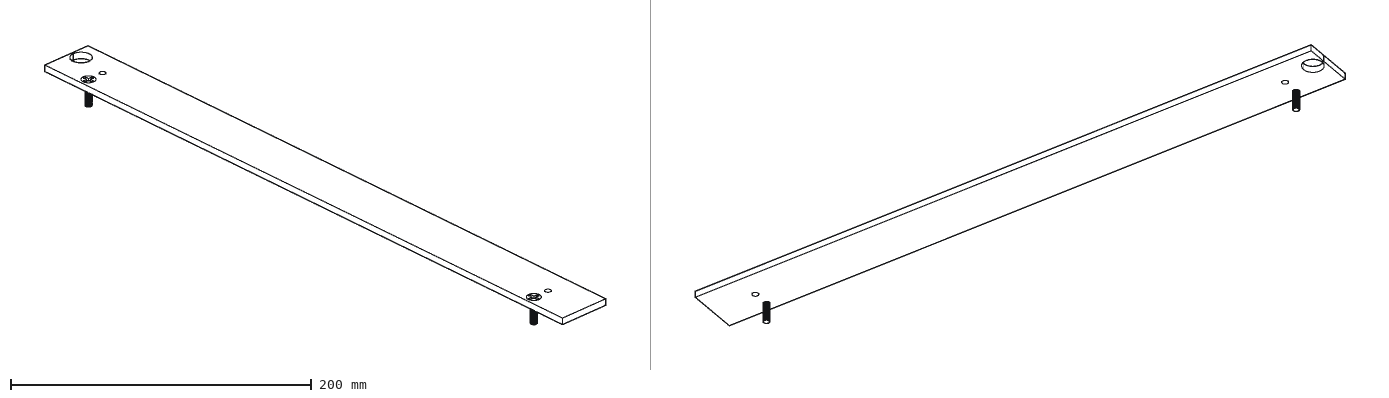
import cadquery as cq

PLATE_LENGTH = 498.5
PLATE_WIDTH = 40.0
PLATE_THICKNESS = 5.0

OPENING_DIAMETER = 15.0
OPENING_X = 9.0
OPENING_Y = 25.0
SLIT_WIDTH = 0.5

STATION_INSET = 35.0
STATION_XS = (STATION_INSET, PLATE_LENGTH - STATION_INSET)
SMALL_HOLE_DIAMETER = 4.5
SMALL_HOLE_Y = PLATE_WIDTH / 2
SCREW_Y = 7.0

SCREW_LENGTH = 20.0
SCREW_BOTTOM = PLATE_THICKNESS - SCREW_LENGTH
SHANK_RADIUS = 2.5
HEAD_HEIGHT = 2.5
HEAD_RADIUS = SHANK_RADIUS + HEAD_HEIGHT
HEAD_BOTTOM = PLATE_THICKNESS - HEAD_HEIGHT
TIP_CHAMFER = 0.5

THREAD_PITCH = 0.8
THREAD_DEPTH = 0.5
THREAD_LENGTH = -SCREW_BOTTOM - TIP_CHAMFER
THREAD_COUNT = int(THREAD_LENGTH / THREAD_PITCH)

RECESS_LENGTH = 8.0
RECESS_WIDTH = 1.75
RECESS_DEPTH = 2.0


def cut_opening(plate):
    """Cut the large round opening and the slit that runs from it to the left end."""
    opening = (
        cq.Workplane("XY", origin=(OPENING_X, OPENING_Y, 0))
        .circle(OPENING_DIAMETER / 2)
        .extrude(PLATE_THICKNESS)
    )
    slit = (
        cq.Workplane("XY", origin=(OPENING_X / 2, OPENING_Y, 0))
        .rect(OPENING_X, SLIT_WIDTH)
        .extrude(PLATE_THICKNESS)
    )
    return plate.cut(opening).cut(slit)


def cut_small_holes(plate):
    """Cut one small through hole at each station."""
    small_holes = (
        cq.Workplane("XY")
        .pushPoints([(x, SMALL_HOLE_Y) for x in STATION_XS])
        .circle(SMALL_HOLE_DIAMETER / 2)
        .extrude(PLATE_THICKNESS)
    )
    return plate.cut(small_holes)


def cut_screw_seats(plate):
    """Cut a countersunk through hole for each screw, the same size as the screw."""
    for x in STATION_XS:
        seat = (
            cq.Workplane("XZ")
            .lineTo(SHANK_RADIUS, 0)
            .lineTo(SHANK_RADIUS, HEAD_BOTTOM)
            .lineTo(HEAD_RADIUS, PLATE_THICKNESS)
            .lineTo(0, PLATE_THICKNESS)
            .close()
            .revolve(360, (0, 0, 0), (0, 1, 0))
        )
        plate = plate.cut(seat.translate((x, SCREW_Y, 0)))
    return plate


def make_plate():
    """Flat plate with its opening, small holes and screw seats."""
    plate = cq.Workplane("XY").box(PLATE_LENGTH, PLATE_WIDTH, PLATE_THICKNESS, centered=False)
    plate = cut_opening(plate)
    plate = cut_small_holes(plate)
    return cut_screw_seats(plate)


def make_screw_body():
    """Screw on the Z axis without its recess: half profile from head to tip, turned once."""
    profile = (
        cq.Workplane("XZ")
        .moveTo(0, PLATE_THICKNESS)
        .lineTo(HEAD_RADIUS, PLATE_THICKNESS)
        .lineTo(SHANK_RADIUS, HEAD_BOTTOM)
        .lineTo(SHANK_RADIUS, 0)
    )
    for groove in range(THREAD_COUNT):
        groove_top = -groove * THREAD_PITCH
        profile = profile.lineTo(SHANK_RADIUS - THREAD_DEPTH, groove_top - THREAD_PITCH / 2)
        profile = profile.lineTo(SHANK_RADIUS, groove_top - THREAD_PITCH)
    profile = (
        profile.lineTo(SHANK_RADIUS, SCREW_BOTTOM + TIP_CHAMFER)
        .lineTo(SHANK_RADIUS - TIP_CHAMFER, SCREW_BOTTOM)
        .lineTo(0, SCREW_BOTTOM)
        .close()
    )
    return profile.revolve(360, (0, 0, 0), (0, 1, 0))


def recess_slot(size_x, size_y):
    """One straight slot sunk into the top of the head."""
    return (
        cq.Workplane("XY", origin=(0, 0, PLATE_THICKNESS))
        .rect(size_x, size_y)
        .extrude(-RECESS_DEPTH)
    )


def make_screw(x):
    """Countersunk screw with a cross recess, in its seat at the given station."""
    screw = make_screw_body()
    screw = screw.cut(recess_slot(RECESS_LENGTH, RECESS_WIDTH))
    screw = screw.cut(recess_slot(RECESS_WIDTH, RECESS_LENGTH))
    return screw.translate((x, SCREW_Y, 0))


plate = make_plate()
screws = [make_screw(x) for x in STATION_XS]

result = cq.Compound.makeCompound([plate.val(), *[screw.val() for screw in screws]])